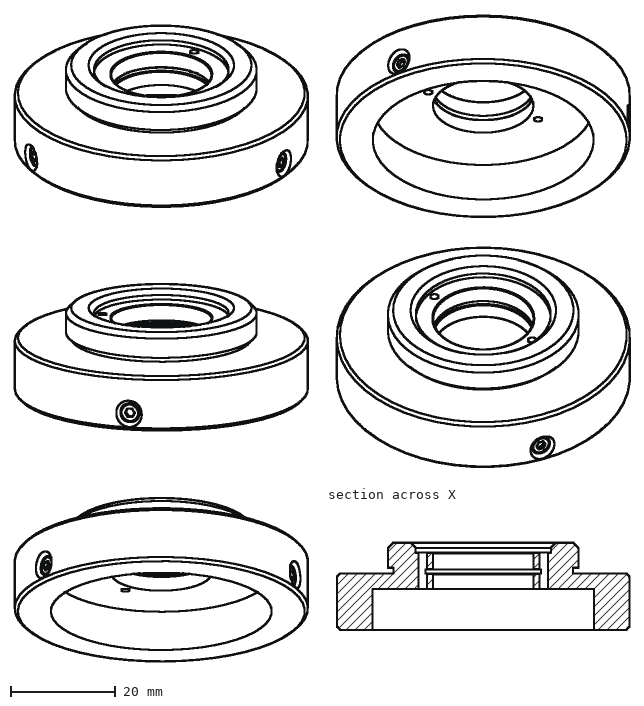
import cadquery as cq

flange_diameter = 55.9
flange_height = 10.8
flange_chamfer = 0.6

total_height = 16.65
collar_diameter = 36.4
collar_bottom = 11.85
collar_chamfer = 1.0
neck_diameter = 34.3

recess_diameter = 25.7
recess_depth = 1.9
recess_chamfer = 1.0
bore_diameter = 19.1
bore_chamfer = 0.15
groove_diameter = 22.0
groove_top = 11.55
groove_bottom = 10.75
cavity_diameter = 42.1
cavity_depth = 7.75
shelf_height = total_height - recess_depth

pin_hole_diameter = 1.55
pin_circle_diameter = 23.0
pin_count = 2

screw_count = 3
screw_height = 3.3
screw_diameter = 3.7
screw_face_depth = 0.8
screw_edge_chamfer = 0.2
countersink_diameter = 5.2
socket_across_flats = 1.6
socket_depth = 0.7
cutter_overshoot = 1.1


def disc(diameter, bottom, top):
    """Solid cylinder on the Z axis between two heights."""
    return cq.Workplane("XY").workplane(offset=bottom).circle(diameter / 2).extrude(top - bottom)


def bore_edge_chamfer(diameter, top, size):
    """45 degree cone that breaks the upper edge of a bore."""
    radius = diameter / 2
    profile = [
        (0, top - size),
        (radius, top - size),
        (radius + size, top),
        (0, top),
    ]
    return cq.Workplane("XZ").polyline(profile).close().revolve(360, (0, 0), (0, 1))


def make_body():
    flange = disc(flange_diameter, 0, flange_height).edges().chamfer(flange_chamfer)
    neck = disc(neck_diameter, flange_height - flange_chamfer, collar_bottom)
    collar = disc(collar_diameter, collar_bottom, total_height).edges(">Z").chamfer(collar_chamfer)
    return flange.union(neck).union(collar)


def cut_stepped_bore(body):
    body = body.cut(disc(recess_diameter, shelf_height, total_height))
    body = body.cut(disc(bore_diameter, 0, total_height))
    body = body.cut(disc(groove_diameter, groove_bottom, groove_top))
    body = body.cut(disc(cavity_diameter, 0, cavity_depth))
    body = body.cut(bore_edge_chamfer(recess_diameter, total_height, recess_chamfer))
    for edge_height in (shelf_height, groove_bottom):
        body = body.cut(bore_edge_chamfer(bore_diameter, edge_height, bore_chamfer))
    return body


def make_pin_holes():
    return (
        cq.Workplane("XY")
        .polarArray(pin_circle_diameter / 2, 90, 360, pin_count)
        .circle(pin_hole_diameter / 2)
        .extrude(total_height)
    )


def make_screw_pocket():
    """Countersink, screw seat and hexagonal socket cut inward from the +X rim."""
    rim = flange_diameter / 2
    face = rim - screw_face_depth
    seat_radius = screw_diameter / 2
    cone_radius = countersink_diameter / 2
    cone_depth = cone_radius - seat_radius
    profile = [
        (face, 0),
        (face, seat_radius - screw_edge_chamfer),
        (face - screw_edge_chamfer, seat_radius),
        (rim - cone_depth, seat_radius),
        (rim + cutter_overshoot, cone_radius + cutter_overshoot),
        (rim + cutter_overshoot, 0),
    ]
    seat = cq.Workplane("XY").polyline(profile).close().revolve(360, (0, 0), (1, 0))
    socket = (
        cq.Workplane("YZ")
        .workplane(offset=face - socket_depth)
        .polygon(6, socket_across_flats, circumscribed=True)
        .extrude(socket_depth)
        .rotate((0, 0, 0), (1, 0, 0), 30)
    )
    return seat.union(socket).translate((0, 0, screw_height))


result = cut_stepped_bore(make_body()).cut(make_pin_holes())
screw_pocket = make_screw_pocket()
for index in range(screw_count):
    angle = index * 360 / screw_count
    result = result.cut(screw_pocket.rotate((0, 0, 0), (0, 0, 1), angle))